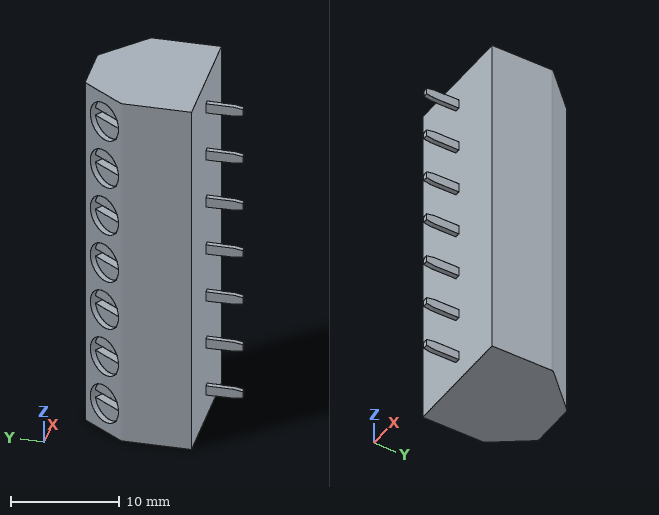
import cadquery as cq
import math

body_width = 12.0
body_depth = 10.8
body_height = 36.48
slope_drop = 4.12
screw_slope_angle = 35.0
plain_slope_angle = 45.0
edge_radius = 0.5

terminal_count = 7
end_margin = 3.0
terminal_pitch = (body_height - 2 * end_margin) / (terminal_count - 1)
terminal_heights = [end_margin + i * terminal_pitch for i in range(terminal_count)]

screw_diameter = 3.9
screw_drop = 2.23
screw_recess = 0.6
slot_width = 0.8
slot_depth = 1.0

pin_length = 3.5
pin_thickness = 0.5
pin_width = 1.0
pin_tip_width = 0.7
pin_taper_length = 0.8

half_width = body_width / 2
slope_tangent = math.tan(math.radians(screw_slope_angle))
screw_slope_run = slope_drop * slope_tangent
plain_slope_run = slope_drop * math.tan(math.radians(plain_slope_angle))


def make_housing():
    shoulder = body_depth - slope_drop
    slope_corners = [
        (half_width, shoulder),
        (half_width - plain_slope_run, body_depth),
        (-half_width + screw_slope_run, body_depth),
        (-half_width, shoulder),
    ]
    outline = [(-half_width, 0), (half_width, 0)] + slope_corners
    housing = cq.Workplane("XY").polyline(outline).close().extrude(body_height)
    for x, y in slope_corners:
        edge_middle = (x, y, body_height / 2)
        housing = housing.edges(cq.selectors.NearestToPointSelector(edge_middle)).fillet(edge_radius)
    return housing


def make_screw_cut(height):
    """Round recess with a driver slot across its floor, sunk square to the screw face."""
    axis_x = -half_width + (slope_drop - screw_drop) * slope_tangent
    angle = math.radians(screw_slope_angle)
    face = cq.Plane(
        origin=(axis_x, body_depth - screw_drop, height),
        xDir=(0, 0, 1),
        normal=(-math.cos(angle), math.sin(angle), 0),
    )
    full_depth = screw_recess + slot_depth
    recess = cq.Workplane(face).circle(screw_diameter / 2).extrude(-screw_recess)
    slot = cq.Workplane(face).rect(slot_width, screw_diameter).extrude(-full_depth)
    screw_bore = cq.Workplane(face).circle(screw_diameter / 2).extrude(-full_depth)
    return recess.union(slot.intersect(screw_bore))


def make_pin(height):
    """Flat pin pointing to -Y, narrowed in Z at its tip."""
    taper_start = -pin_length + pin_taper_length
    outline = [
        (0, height - pin_width / 2),
        (0, height + pin_width / 2),
        (taper_start, height + pin_width / 2),
        (-pin_length, height + pin_tip_width / 2),
        (-pin_length, height - pin_tip_width / 2),
        (taper_start, height - pin_width / 2),
    ]
    return cq.Workplane("YZ").polyline(outline).close().extrude(pin_thickness / 2, both=True)


result = make_housing()
for terminal_height in terminal_heights:
    result = result.cut(make_screw_cut(terminal_height))
    result = result.union(make_pin(terminal_height))